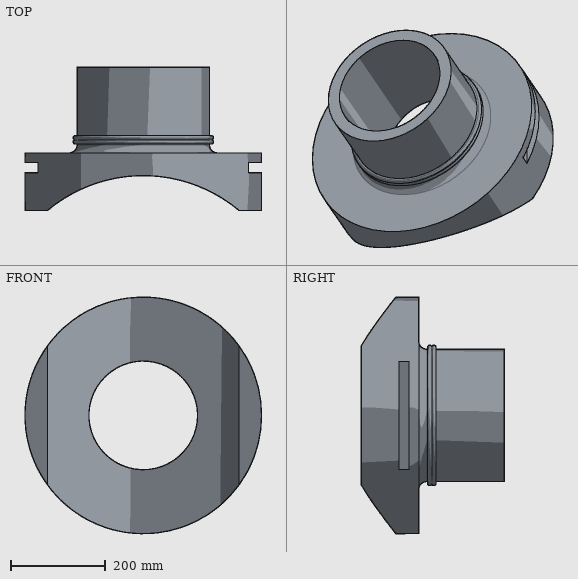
import cadquery as cq
import math

disc_radius = 250.0
disc_thickness = 122.0
total_length = 303.0

pipe_radius = 140.0
bore_radius = 114.5
root_fillet = 17.0

ring_outer_radius = 148.5
ring_width = 9.0
ring_count = 2
rings_start = disc_thickness + 18.5

saddle_radius = 315.0
saddle_half_width = 202.5
saddle_axis_y = -math.sqrt(saddle_radius**2 - saddle_half_width**2)

slot_floor_x = 222.5
slot_width = 21.0
slot_back_wall = 20.5


def cylinder_along_y(radius, start, end):
    return cq.Workplane("XZ", origin=(0, start, 0)).circle(radius).extrude(start - end)


def flared_spigot():
    """Pipe with a concave quarter-round flare where it meets the disc."""
    flare_end = disc_thickness + root_fillet
    flare_radius = pipe_radius + root_fillet
    mid_offset = root_fillet * (1 - math.sqrt(0.5))
    return (
        cq.Workplane("XY")
        .lineTo(flare_radius, 0)
        .lineTo(flare_radius, disc_thickness)
        .threePointArc((pipe_radius + mid_offset, disc_thickness + mid_offset), (pipe_radius, flare_end))
        .lineTo(pipe_radius, total_length)
        .lineTo(0, total_length)
        .close()
        .revolve(360, (0, 0, 0), (0, 1, 0))
    )


def ring(start):
    """Ring with a half-round crown, reaching into the pipe wall."""
    crown_radius = ring_width / 2
    shoulder_radius = ring_outer_radius - crown_radius
    inner_radius = (pipe_radius + bore_radius) / 2
    end = start + ring_width
    return (
        cq.Workplane("XY")
        .moveTo(inner_radius, start)
        .lineTo(shoulder_radius, start)
        .threePointArc((ring_outer_radius, start + crown_radius), (shoulder_radius, end))
        .lineTo(inner_radius, end)
        .close()
        .revolve(360, (0, 0, 0), (0, 1, 0))
    )


def side_slot(side):
    depth = disc_radius - slot_floor_x
    center_x = side * (slot_floor_x + depth)
    center_y = disc_thickness - slot_back_wall - slot_width / 2
    return cq.Workplane("XY").box(2 * depth, slot_width, 2 * disc_radius).translate((center_x, center_y, 0))


result = cylinder_along_y(disc_radius, 0, disc_thickness).union(flared_spigot())

for index in range(ring_count):
    result = result.union(ring(rings_start + index * ring_width))

saddle = (
    cq.Workplane("XY")
    .center(0, saddle_axis_y)
    .circle(saddle_radius)
    .extrude(disc_radius, both=True)
)
result = result.cut(saddle)
result = result.cut(cylinder_along_y(bore_radius, 0, total_length))

for side in (-1, 1):
    result = result.cut(side_slot(side))